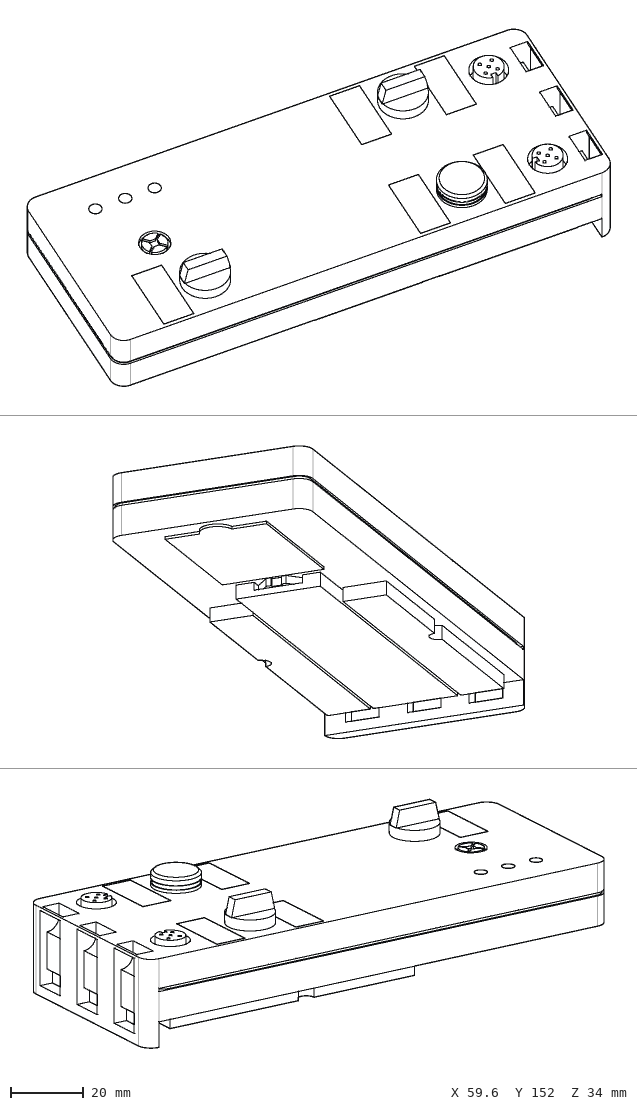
import cadquery as cq
import math

width = 59.6
length = 152.0
corner_radius = 4.1
shell_bottom = 7.5
shell_top = 25.8
seam_bottom = 16.3
seam_top = 17.2
seam_depth = 0.6
rear = length / 2
wall_front = rear - corner_radius

channel_width = 10.0
channel_spacing = 18.5
channel_front = rear - 6.2
channel_floor = 18.2
tongue_end = rear - 2.3
floor_radius = tongue_end - channel_front
window_bottom = 3.0
rim_thickness = 0.9

column = 18.5
marking_height = 0.08
label_width = 20.2
label_length = 9.1
label_places = [(-column, 47.5), (column, 47.5), (-column, 21.7), (column, 21.7), (column, -56.5)]
lamp_radius = 1.8
lamp_places = [(-column, y) for y in (-41.0, -50.0, -59.1)]

socket_y = 60.8
socket_top = 27.2
socket_radius = 4.3
socket_well_radius = 5.5
socket_well_depth = 4.5
contact_radius = 0.5
contact_offset = 1.8
contact_depth = 1.5
key_width = 1.5
key_depth = 1.4

cap_radius = 7.0
cap_y = 34.7
knob_base_top = 29.0
knob_places = [(-column, cap_y), (column, -43.6)]
grip_top = 34.0
grip_width = 3.0
grip_base_length = 14.1
grip_top_length = 11.9
plug_top = 30.2
plug_chamfer = 0.8
plug_groove_bottom = 26.8
plug_groove_height = 1.2
plug_groove_depth = 0.3

screw_y = -50.0
screw_radius = 3.6
screw_well_radius = 4.4
screw_well_depth = 1.2
recess_depth = 0.8
recess_square = 2.5
recess_arm_width = 0.6

plate_bottom = 3.3
plate_rear = 66.1
center_plate_half_width = 12.6
center_plate_front = -27.7
side_plate_inner = 13.5
side_plate_outer = 26.5
side_plate_front = -14.1
notch_radius = 2.6
notch_y = 21.5

nut_sides = 8
nut_size = 14.5
nut_front = -29.0
nut_bottom = 5.2
nut_slot_width = 3.0
nut_slot_depth = 0.8

foot_half_width = 15.2
foot_bottom = 6.7
foot_rear = -31.2
foot_front = -70.2
foot_nose_radius = 5.0
foot_nose_front = -74.0


def block(x0, x1, y0, y1, z0, z1):
    """Box between two opposite corners."""
    return cq.Workplane("XY").box(x1 - x0, y1 - y0, z1 - z0, centered=False).translate((x0, y0, z0))


def disc(x, y, radius, z0, z1):
    """Upright cylinder from z0 to z1."""
    return cq.Workplane("XY", origin=(x, y, z0)).circle(radius).extrude(z1 - z0)


def housing():
    half = width / 2
    outline = block(-half, half, -rear, rear, 0, shell_top).edges("|Z").fillet(corner_radius)
    underside = block(-half, half, -rear, wall_front, 0, shell_bottom)
    slit = block(-half, half, -rear, wall_front, seam_bottom, seam_top)
    core = block(
        -half + seam_depth, half - seam_depth,
        -rear + seam_depth, wall_front - seam_depth,
        seam_bottom, seam_top,
    ).edges("|Z").fillet(corner_radius - seam_depth)
    return outline.cut(underside).cut(slit.cut(core))


def tie_channel(x):
    """Opens at the top, drops behind a tongue and leaves through the rear and under the housing."""
    bend = floor_radius * (1 - math.sqrt(0.5))
    rim_front = rear - rim_thickness
    profile = (
        cq.Workplane("YZ", origin=(x - channel_width / 2, 0, 0))
        .moveTo(channel_front, shell_top)
        .lineTo(channel_front, channel_floor + floor_radius)
        .threePointArc(
            (channel_front + bend, channel_floor + bend),
            (tongue_end, channel_floor),
        )
        .lineTo(tongue_end, shell_bottom)
        .lineTo(wall_front, shell_bottom)
        .lineTo(wall_front, window_bottom)
        .lineTo(rear, window_bottom)
        .lineTo(rear, shell_top - rim_thickness)
        .lineTo(rim_front, shell_top - rim_thickness)
        .lineTo(rim_front, shell_top)
        .close()
    )
    return profile.extrude(channel_width)


def add_socket(body, x, key_angle):
    """Round socket standing in a well, with five contacts and a key slot in its rim."""
    well_floor = shell_top - socket_well_depth
    well = disc(x, socket_y, socket_well_radius, well_floor, shell_top)
    insert = disc(x, socket_y, socket_radius, well_floor, socket_top)
    contacts = [(0, 0)]
    contacts += [(i * contact_offset, j * contact_offset) for i in (-1, 1) for j in (-1, 1)]
    for dx, dy in contacts:
        contact = disc(x + dx, socket_y + dy, contact_radius, socket_top - contact_depth, socket_top)
        insert = insert.cut(contact)
    key = block(
        socket_radius - key_depth, socket_radius, -key_width / 2, key_width / 2, well_floor, socket_top
    )
    key = key.rotate((0, 0, 0), (0, 0, 1), key_angle).translate((x, socket_y, 0))
    return body.cut(well).union(insert.cut(key))


def knob(x, y):
    base = disc(x, y, cap_radius, shell_top, knob_base_top)
    grip = (
        cq.Workplane("YZ", origin=(x - grip_width / 2, y, 0))
        .moveTo(-grip_base_length / 2, knob_base_top)
        .lineTo(grip_base_length / 2, knob_base_top)
        .lineTo(grip_top_length / 2, grip_top)
        .lineTo(-grip_top_length / 2, grip_top)
        .close()
        .extrude(grip_width)
    )
    return base.union(grip)


def plug(x, y):
    body = disc(x, y, cap_radius, shell_top, plug_top).faces(">Z").chamfer(plug_chamfer)
    groove_top = plug_groove_bottom + plug_groove_height
    groove = disc(x, y, cap_radius, plug_groove_bottom, groove_top)
    groove = groove.cut(disc(x, y, cap_radius - plug_groove_depth, plug_groove_bottom, groove_top))
    return body.cut(groove)


def screw_cut():
    """Ring-shaped well around the screw head and the diagonal cross recess in it."""
    well_floor = shell_top - screw_well_depth
    well = disc(0, screw_y, screw_well_radius, well_floor, shell_top)
    head = disc(0, screw_y, screw_radius, well_floor, shell_top)
    recess = cq.Workplane("XY", origin=(0, screw_y, shell_top)).rect(recess_square, recess_square)
    recess = recess.extrude(-recess_depth)
    for angle in (45, 135):
        arm = cq.Workplane("XY").rect(2 * screw_radius, recess_arm_width).extrude(-recess_depth)
        recess = recess.union(arm.rotate((0, 0, 0), (0, 0, 1), angle).translate((0, screw_y, shell_top)))
    return well.cut(head).union(recess)


def side_plate(side):
    inner = side * side_plate_inner
    outer = side * side_plate_outer
    plate = block(
        min(inner, outer), max(inner, outer), side_plate_front, plate_rear, plate_bottom, shell_bottom
    )
    return plate.cut(disc(outer, notch_y, notch_radius, plate_bottom, shell_bottom))


def center_plate():
    """Middle plate with a slotted octagonal nut sitting in a pocket in its front end."""
    plate = block(
        -center_plate_half_width, center_plate_half_width,
        center_plate_front, plate_rear, plate_bottom, shell_bottom,
    )
    nut_center = nut_front + nut_size / 2
    pocket = block(
        -nut_size / 2, nut_size / 2, center_plate_front, nut_center, nut_bottom, shell_bottom
    )
    nut = (
        cq.Workplane("XY")
        .polygon(nut_sides, nut_size, circumscribed=True)
        .extrude(shell_bottom - nut_bottom)
        .translate((0, nut_center, nut_bottom))
    )
    slot = block(
        -nut_slot_width / 2, nut_slot_width / 2,
        nut_front, nut_front + nut_slot_depth, nut_bottom, shell_bottom,
    )
    return plate.cut(pocket).union(nut.cut(slot))


def foot():
    """Thin pad under the front half, with a rounded nose."""
    pad = block(-foot_half_width, foot_half_width, foot_front, foot_rear, foot_bottom, shell_bottom)
    nose = disc(0, foot_nose_front + foot_nose_radius, foot_nose_radius, foot_bottom, shell_bottom)
    return pad.union(nose)


result = housing()

for channel_x in (-channel_spacing, 0, channel_spacing):
    result = result.cut(tie_channel(channel_x))

result = add_socket(result, -column, 0)
result = add_socket(result, column, -90)

for knob_x, knob_y in knob_places:
    result = result.union(knob(knob_x, knob_y))
result = result.union(plug(column, cap_y))
result = result.cut(screw_cut())

markings = (
    cq.Workplane("XY", origin=(0, 0, shell_top))
    .pushPoints(label_places).rect(label_width, label_length).extrude(marking_height)
)
for lamp_x, lamp_y in lamp_places:
    markings = markings.union(disc(lamp_x, lamp_y, lamp_radius, shell_top, shell_top + marking_height))
result = result.union(markings)

result = result.union(center_plate()).union(side_plate(-1)).union(side_plate(1)).union(foot())